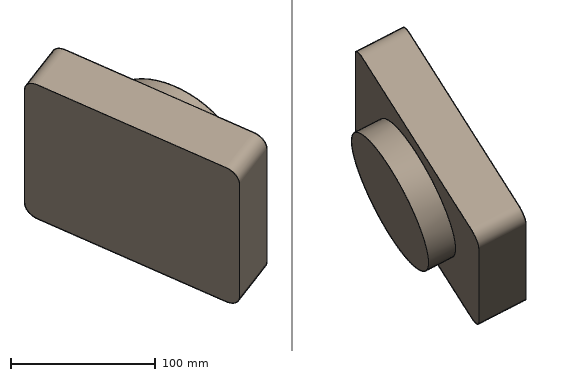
import cadquery as cq

width = 172.5
height = 140.2
housing_depth = 37.8
corner_radius = 10.7

total_depth = 59.3
boss_diameter = 107.8
boss_depth = total_depth - housing_depth


def make_housing():
    """Block with its four Y-direction edges rounded."""
    return (
        cq.Workplane("XY")
        .box(width, housing_depth, height, centered=(True, False, True))
        .edges("|Y")
        .fillet(corner_radius)
    )


def make_boss():
    """Disc that stands on the housing's back face and points along +Y."""
    return (
        cq.Workplane("XZ", origin=(0, housing_depth, 0))
        .circle(boss_diameter / 2)
        .extrude(-boss_depth)
    )


housing = make_housing()
boss = make_boss()

result = cq.Compound.makeCompound([housing.val(), boss.val()])